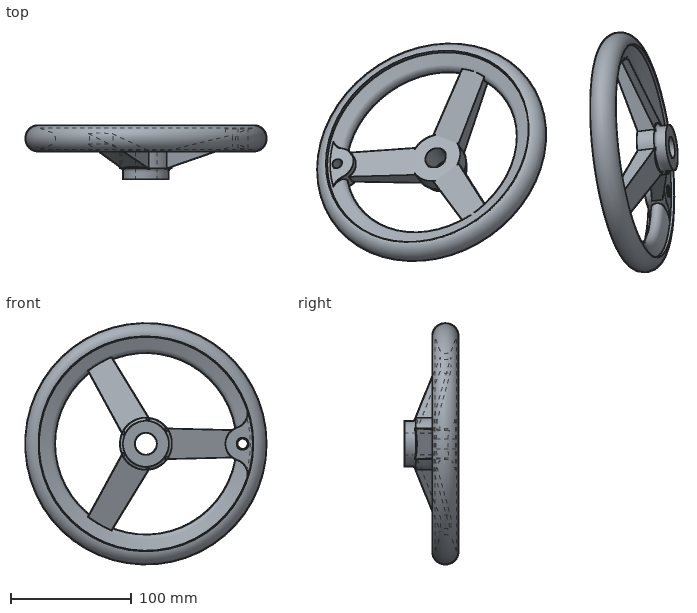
import cadquery as cq
import math


outer_radius = 100.0
rim_width = 22.0
grip_radius = rim_width / 2
lip_radius = outer_radius - grip_radius
lip_depth = 2.2
web_radius = 88.5
web_half_width = grip_radius - lip_depth
bead_radius = 79.0
bead_half_width = 5.5
rim_inner_radius = 75.0

hub_front = -34.0
collar_radius = 19.0
hub_radius = 21.5
flare_size = hub_radius - collar_radius
hub_shoulder = -24.5
hub_back = -9.8
bore_radius = 9.0

spoke_count = 3
spoke_root = 16.0
spoke_tip = 80.0
spoke_root_width = 25.5
spoke_tip_width = 22.5
spoke_root_front = -25.5
spoke_tip_front = -3.2
spoke_root_back = -10.5
spoke_tip_back = 5.2

boss_x = 80.0
boss_radius = 14.2
boss_front = -web_half_width
boss_back = 8.0
boss_blend_radius = 12.5
handle_hole_diameter = 8.5
handle_countersink_diameter = 10.0


def disc(radius, front, back):
    """Cylinder around the wheel axis between two Y positions."""
    return cq.Workplane("XZ", origin=(0, front, 0)).circle(radius).extrude(front - back)


def make_rim():
    """Rounded grip with a recessed tapered web and a rounded inner bead."""
    section = (
        cq.Workplane("XY")
        .moveTo(lip_radius, -grip_radius)
        .threePointArc((outer_radius, 0), (lip_radius, grip_radius))
        .lineTo(web_radius, web_half_width)
        .lineTo(bead_radius, bead_half_width)
        .threePointArc((rim_inner_radius, 0), (bead_radius, -bead_half_width))
        .lineTo(web_radius, -web_half_width)
        .close()
    )
    return section.revolve(360, (0, 0, 0), (0, 1, 0))


def make_hub():
    """Stepped hub with a concave flare between collar and body."""
    flare_start = hub_shoulder - flare_size
    arc_inset = flare_size * (1 - math.sqrt(0.5))
    section = (
        cq.Workplane("XY")
        .moveTo(0, hub_front)
        .lineTo(collar_radius, hub_front)
        .lineTo(collar_radius, flare_start)
        .threePointArc(
            (collar_radius + arc_inset, hub_shoulder - arc_inset),
            (hub_radius, hub_shoulder),
        )
        .lineTo(hub_radius, hub_back)
        .lineTo(0, hub_back)
        .close()
    )
    return section.revolve(360, (0, 0, 0), (0, 1, 0))


def make_spoke():
    """Spoke along +X that slopes back towards the rim and narrows slightly."""
    side = (
        cq.Workplane("XY")
        .polyline([
            (spoke_root, spoke_root_front),
            (spoke_tip, spoke_tip_front),
            (spoke_tip, spoke_tip_back),
            (spoke_root, spoke_root_back),
        ])
        .close()
        .extrude(spoke_root_width / 2, both=True)
    )
    face = (
        cq.Workplane("XZ")
        .polyline([
            (spoke_root, -spoke_root_width / 2),
            (spoke_tip, -spoke_tip_width / 2),
            (spoke_tip, spoke_tip_width / 2),
            (spoke_root, spoke_root_width / 2),
        ])
        .close()
        .extrude(rim_width * 2, both=True)
    )
    return side.intersect(face)


def make_boss():
    """Handle boss whose outline flares into the rim web through concave arcs."""
    blend_distance = web_radius - boss_blend_radius
    centre_distance = boss_radius + boss_blend_radius
    blend_angle = math.acos(
        (blend_distance**2 + boss_x**2 - centre_distance**2) / (2 * blend_distance * boss_x)
    )
    blend_x = blend_distance * math.cos(blend_angle)
    blend_z = blend_distance * math.sin(blend_angle)

    touch_x = boss_x + (blend_x - boss_x) * boss_radius / centre_distance
    touch_z = blend_z * boss_radius / centre_distance
    rim_x = web_radius * math.cos(blend_angle)
    rim_z = web_radius * math.sin(blend_angle)

    start_angle = math.atan2(touch_z - blend_z, touch_x - blend_x)
    middle_angle = (start_angle + blend_angle) / 2
    middle_x = blend_x + boss_blend_radius * math.cos(middle_angle)
    middle_z = blend_z + boss_blend_radius * math.sin(middle_angle)

    return (
        cq.Workplane("XZ", origin=(0, boss_front, 0))
        .moveTo(touch_x, touch_z)
        .threePointArc((middle_x, middle_z), (rim_x, rim_z))
        .threePointArc((web_radius, 0), (rim_x, -rim_z))
        .threePointArc((middle_x, -middle_z), (touch_x, -touch_z))
        .threePointArc((boss_x - boss_radius, 0), (touch_x, touch_z))
        .close()
        .extrude(boss_front - boss_back)
    )


def make_handle_hole():
    """Through hole in the boss with a 45 degree countersink at the front."""
    hole_radius = handle_hole_diameter / 2
    countersink_radius = handle_countersink_diameter / 2
    section = (
        cq.Workplane("XY")
        .polyline([
            (0, boss_front),
            (countersink_radius, boss_front),
            (hole_radius, boss_front + countersink_radius - hole_radius),
            (hole_radius, boss_back),
            (0, boss_back),
        ])
        .close()
    )
    return section.revolve(360, (0, 0, 0), (0, 1, 0)).translate((boss_x, 0, 0))


wheel = make_rim().union(make_hub())
for index in range(spoke_count):
    spoke = make_spoke().rotate((0, 0, 0), (0, 1, 0), index * 360 / spoke_count)
    wheel = wheel.union(spoke)

wheel = wheel.union(make_boss())
wheel = wheel.cut(disc(bore_radius, hub_front, hub_back))
result = wheel.cut(make_handle_hole())